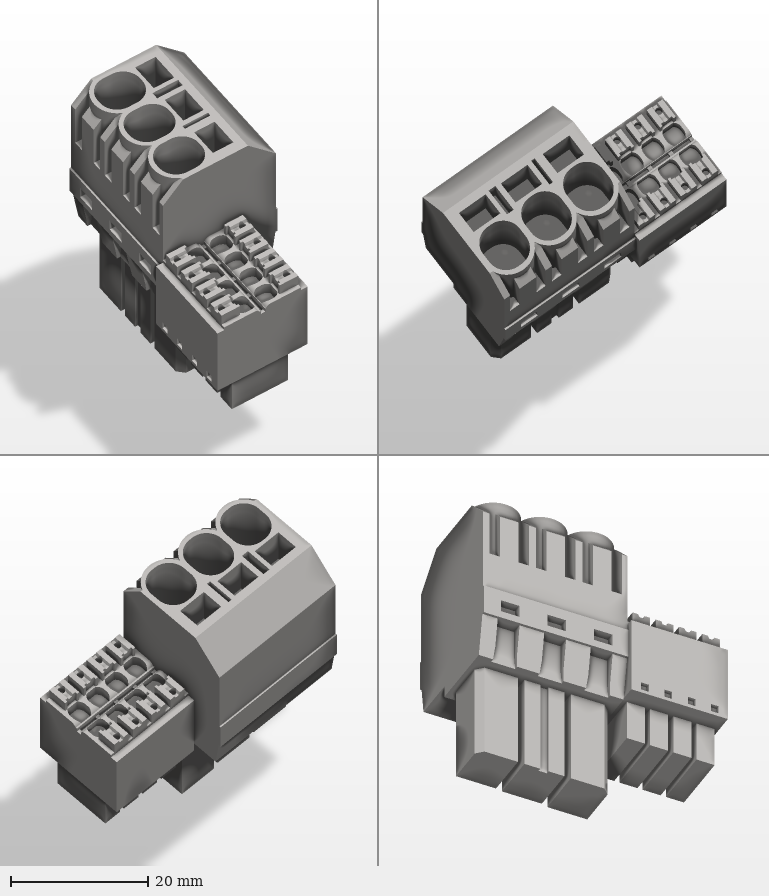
import cadquery as cq
import math


POWER_WIDTH = 23.65
POWER_POLES = 3
POWER_PITCH = 7.6
POWER_MIDDLE_X = 11.9
POWER_TOP = 44.7
POWER_BOTTOM = 15.5
POWER_FRONT = 1.2
POWER_BACK = 21.28
BACK_STEP_Y = 13.72
BACK_STEP_Z = 17.45
FRONT_CHAMFER = 3.58
BACK_CHAMFER = 5.0
BAND_BOTTOM = 22.3
BAND_TOP = 27.25
BAND_FRONT = 0.9
BAND_BACK = 21.55
TAPER_TOP_FRONT = 1.35
TAPER_TOP_BACK = 21.15
TAPER_BOTTOM_FRONT = 2.5
TAPER_BOTTOM_BACK = 20.47

FUNNEL_WIDTH = 6.6
FUNNEL_LENGTH = 7.5
FUNNEL_CORNER_RADIUS = 3.0
FUNNEL_Y = 6.95
FUNNEL_DEPTH = 11.18
COLLAR_RADIUS = 4.1
COLLAR_Y = 6.45
COLLAR_SLOT_BOTTOM = 33.75
COLLAR_SLOT_INNER = 1.5
COLLAR_SLOT_OUTER = 3.2

TOOL_HOLE_WIDTH = 4.83
TOOL_HOLE_FRONT = 11.25
TOOL_HOLE_BACK = 14.9
TOOL_HOLE_DEPTH = 6.7
SLIT_FRONT = 10.55
SLIT_BACK = 15.05
SLIT_DEPTH = 4.45
SLITS = [(8.0, 1.2), (15.4, 0.63)]

POWER_WINDOW_WIDTH = 3.05
POWER_WINDOW_BOTTOM = 23.45
POWER_WINDOW_TOP = 25.5
POWER_WINDOW_DEPTH = 1.45
NOSE_RECESS_Y = 3.15
NOSE_RECESS_WIDTH = 3.58
NOSE_RECESS_FLARE = 0.2
NOSE_FLARE_Z = 17.65

PRONG_WIDTH = 6.53
PRONG_FRONT = 4.83
PRONG_BACKS = [11.95, 12.15, 12.5]
PRONG_CHAMFER = 1.07
PRONG_GROOVE_WIDTH = 1.35
PRONG_GROOVE_DEPTH = 0.55

SIGNAL_WIDTH = 15.8
SIGNAL_DEPTH = 16.0
SIGNAL_POLES = 4
SIGNAL_PITCH = 3.8
SIGNAL_MIDDLE_X = 31.6
SIGNAL_BOTTOM = 15.7
SIGNAL_TOP = 28.47
PLATEAU_TOP = 29.05
OUTER_WALL = 1.2
PLATEAU_INNER = 1.48
SHOULDER_RADIUS = 1.0

CHANNEL_FRONT = 7.7
CHANNEL_BACK = 8.5
CHANNEL_DEPTH = 0.65
CELL_WIDTH = 3.15
CELL_DEPTH = 0.65

POCKET_WIDTH = 3.05
POCKET_LENGTH = 3.58
POCKET_OFFSET = 2.0
POCKET_DEPTH = 2.0
PUSHER_WIDTH = 2.85
PUSHER_LENGTH = 3.3
PUSHER_TOP = 31.0
PUSHER_GROOVE_TOP_WIDTH = 1.07
PUSHER_GROOVE_FLOOR_WIDTH = 0.63
PUSHER_GROOVE_DEPTH = 0.5
PUSHER_HOLE_DIAMETER = 1.1
PUSHER_HOLE_INSET = 1.05
PUSHER_HOLE_DEPTH = 1.35
PUSHER_NOTCH_WIDTH = 1.95
PUSHER_NOTCH_DEPTH = 0.4

SIGNAL_WINDOW_WIDTH = 1.25
SIGNAL_WINDOW_BOTTOM = 16.23
SIGNAL_WINDOW_TOP = 17.52
SIGNAL_WINDOW_DEPTH = 0.7
SIGNAL_PRONG_WIDTH = 2.95
SIGNAL_PRONG_BOTTOM = 9.05
SIGNAL_PRONG_FRONT = 3.0
SIGNAL_PRONG_BACK = 12.95

SIGNAL_MIDDLE_Y = SIGNAL_DEPTH / 2
SHOULDER_DROP = PLATEAU_TOP - SIGNAL_TOP
SHOULDER_WIDTH = math.sqrt(SHOULDER_RADIUS**2 - (SHOULDER_RADIUS - SHOULDER_DROP) ** 2)
LEDGE_INNER = PLATEAU_INNER - SHOULDER_WIDTH
POCKET_FLOOR = PLATEAU_TOP - POCKET_DEPTH
ROW_SIDES = [-1, 1]


def row_centres(middle, pitch, count):
    """X positions of evenly spaced poles, centred on middle."""
    return [middle + (i - (count - 1) / 2) * pitch for i in range(count)]


POWER_CENTRES = row_centres(POWER_MIDDLE_X, POWER_PITCH, POWER_POLES)
SIGNAL_CENTRES = row_centres(SIGNAL_MIDDLE_X, SIGNAL_PITCH, SIGNAL_POLES)


def block(x0, x1, y0, y1, z0, z1):
    """Box between two corners; the Y limits may come in either order."""
    low_y, high_y = sorted((y0, y1))
    size = (x1 - x0, high_y - low_y, z1 - z0)
    return cq.Workplane("XY").box(*size, centered=False).translate((x0, low_y, z0))


def centred_block(x, width, y0, y1, z0, z1):
    """Box of a given width, centred on x."""
    return block(x - width / 2, x + width / 2, y0, y1, z0, z1)


def upright_cylinder(x, y, radius, z0, z1):
    return cq.Workplane("XY", origin=(x, y, z0)).circle(radius).extrude(z1 - z0)


def upright_slot(x, y, width, length, z0, z1):
    """Prism with straight sides and two half-round ends, its long axis along Y."""
    return cq.Workplane("XY", origin=(x, y, z0)).slot2D(length, width, 90).extrude(z1 - z0)


def power_body():
    outline = [
        (TAPER_BOTTOM_FRONT, POWER_BOTTOM),
        (BACK_STEP_Y, POWER_BOTTOM),
        (BACK_STEP_Y, BACK_STEP_Z),
        (TAPER_BOTTOM_BACK, BACK_STEP_Z),
        (TAPER_TOP_BACK, BAND_BOTTOM),
        (BAND_BACK, BAND_BOTTOM),
        (BAND_BACK, BAND_TOP),
        (POWER_BACK, BAND_TOP),
        (POWER_BACK, POWER_TOP - BACK_CHAMFER),
        (POWER_BACK - BACK_CHAMFER, POWER_TOP),
        (POWER_FRONT + FRONT_CHAMFER, POWER_TOP),
        (POWER_FRONT, POWER_TOP - FRONT_CHAMFER),
        (POWER_FRONT, BAND_TOP),
        (BAND_FRONT, BAND_TOP),
        (BAND_FRONT, BAND_BOTTOM),
        (TAPER_TOP_FRONT, BAND_BOTTOM),
    ]
    return cq.Workplane("YZ").polyline(outline).close().extrude(POWER_WIDTH)


def collar(x):
    return upright_cylinder(x, COLLAR_Y, COLLAR_RADIUS, COLLAR_SLOT_BOTTOM, POWER_TOP)


def collar_slots(x):
    """Two upright slots that expose the collar from the front."""
    slot_width = COLLAR_SLOT_OUTER - COLLAR_SLOT_INNER
    slot_offset = (COLLAR_SLOT_OUTER + COLLAR_SLOT_INNER) / 2
    limits = (POWER_FRONT, COLLAR_Y, COLLAR_SLOT_BOTTOM, POWER_TOP)
    left = centred_block(x - slot_offset, slot_width, *limits)
    right = centred_block(x + slot_offset, slot_width, *limits)
    return left.union(right).cut(collar(x))


def wire_funnel(x):
    """Nearly round opening: a rectangle with very large corner radii."""
    back = FUNNEL_Y + FUNNEL_LENGTH / 2
    front = FUNNEL_Y - FUNNEL_LENGTH / 2
    opening = centred_block(x, FUNNEL_WIDTH, front, back, POWER_TOP - FUNNEL_DEPTH, POWER_TOP)
    return opening.edges("|Z").fillet(FUNNEL_CORNER_RADIUS)


def tool_hole(x):
    floor = POWER_TOP - TOOL_HOLE_DEPTH
    return centred_block(x, TOOL_HOLE_WIDTH, TOOL_HOLE_FRONT, TOOL_HOLE_BACK, floor, POWER_TOP)


def power_window(x):
    back = BAND_FRONT + POWER_WINDOW_DEPTH
    return centred_block(x, POWER_WINDOW_WIDTH, BAND_FRONT, back, POWER_WINDOW_BOTTOM, POWER_WINDOW_TOP)


def nose_recess(x):
    """Recess in the tapered nose, flaring slightly towards its open lower end."""
    half = NOSE_RECESS_WIDTH / 2
    low_half = half + NOSE_RECESS_FLARE
    outline = [
        (x - half, BAND_BOTTOM),
        (x - half, NOSE_FLARE_Z),
        (x - low_half, POWER_BOTTOM),
        (x + low_half, POWER_BOTTOM),
        (x + half, NOSE_FLARE_Z),
        (x + half, BAND_BOTTOM),
    ]
    return cq.Workplane("XZ").polyline(outline).close().extrude(-NOSE_RECESS_Y)


def power_prong(x, back):
    return centred_block(x, PRONG_WIDTH, PRONG_FRONT, back, 0, POWER_BOTTOM)


def power_prongs():
    """Three prongs: the outer two have a chamfered front corner, the middle one a front groove."""
    left, middle, right = [power_prong(x, back) for x, back in zip(POWER_CENTRES, PRONG_BACKS)]
    left = left.edges("|Z and <X and <Y").chamfer(PRONG_CHAMFER)
    right = right.edges("|Z and >X and <Y").chamfer(PRONG_CHAMFER)
    groove_back = PRONG_FRONT + PRONG_GROOVE_DEPTH
    groove = centred_block(
        POWER_CENTRES[1], PRONG_GROOVE_WIDTH, PRONG_FRONT, groove_back, 0, POWER_BOTTOM
    )
    return [left, middle.cut(groove), right]


def power_block():
    body = power_body()
    for x in POWER_CENTRES:
        body = body.cut(collar_slots(x))
    for x in POWER_CENTRES:
        body = body.union(collar(x))
    for x in POWER_CENTRES:
        body = body.cut(wire_funnel(x))
        body = body.cut(tool_hole(x))
        body = body.cut(power_window(x))
        body = body.cut(nose_recess(x))
    for x, width in SLITS:
        body = body.cut(centred_block(x, width, SLIT_FRONT, SLIT_BACK, POWER_TOP - SLIT_DEPTH, POWER_TOP))
    for prong in power_prongs():
        body = body.union(prong)
    return body


def signal_body():
    """Profile with two plateaus whose rounded shoulders drop to a middle ledge."""
    plateau_front = SIGNAL_MIDDLE_Y - PLATEAU_INNER
    plateau_back = SIGNAL_MIDDLE_Y + PLATEAU_INNER
    half_angle = math.acos(1 - SHOULDER_DROP / SHOULDER_RADIUS) / 2
    arc_y = SHOULDER_RADIUS * math.sin(half_angle)
    arc_z = PLATEAU_TOP - SHOULDER_RADIUS * (1 - math.cos(half_angle))
    return (
        cq.Workplane("YZ", origin=(POWER_WIDTH, 0, 0))
        .moveTo(0, SIGNAL_BOTTOM)
        .lineTo(0, SIGNAL_TOP)
        .lineTo(OUTER_WALL, SIGNAL_TOP)
        .lineTo(OUTER_WALL, PLATEAU_TOP)
        .lineTo(plateau_front, PLATEAU_TOP)
        .threePointArc((plateau_front + arc_y, arc_z), (SIGNAL_MIDDLE_Y - LEDGE_INNER, SIGNAL_TOP))
        .lineTo(SIGNAL_MIDDLE_Y + LEDGE_INNER, SIGNAL_TOP)
        .threePointArc((plateau_back - arc_y, arc_z), (plateau_back, PLATEAU_TOP))
        .lineTo(SIGNAL_DEPTH - OUTER_WALL, PLATEAU_TOP)
        .lineTo(SIGNAL_DEPTH - OUTER_WALL, SIGNAL_TOP)
        .lineTo(SIGNAL_DEPTH, SIGNAL_TOP)
        .lineTo(SIGNAL_DEPTH, SIGNAL_BOTTOM)
        .close()
        .extrude(SIGNAL_WIDTH)
    )


def channel():
    """Channel along the middle ledge, with one deeper cell for each pole."""
    floor = SIGNAL_TOP - CHANNEL_DEPTH
    cutter = block(
        POWER_WIDTH, POWER_WIDTH + SIGNAL_WIDTH, CHANNEL_FRONT, CHANNEL_BACK, floor, SIGNAL_TOP
    )
    for x in SIGNAL_CENTRES:
        cell = centred_block(x, CELL_WIDTH, CHANNEL_FRONT, CHANNEL_BACK, floor - CELL_DEPTH, floor)
        cutter = cutter.union(cell)
    return cutter


def pusher_blank(x, side):
    """Plain pusher block, standing against the outer wall of its row."""
    outer_y = SIGNAL_MIDDLE_Y + side * (SIGNAL_MIDDLE_Y - OUTER_WALL)
    inner_y = outer_y - side * PUSHER_LENGTH
    return centred_block(x, PUSHER_WIDTH, outer_y, inner_y, POCKET_FLOOR, PUSHER_TOP)


def wire_pocket(x, side):
    """Pocket with half-round ends, cut off at the middle ledge and at the pusher."""
    centre_y = SIGNAL_MIDDLE_Y + side * POCKET_OFFSET
    inner_y = SIGNAL_MIDDLE_Y + side * LEDGE_INNER
    outer_y = SIGNAL_MIDDLE_Y + side * (SIGNAL_MIDDLE_Y - OUTER_WALL - PUSHER_LENGTH)
    bore = upright_slot(x, centre_y, POCKET_WIDTH, POCKET_LENGTH, POCKET_FLOOR, PLATEAU_TOP)
    limits = centred_block(x, POCKET_WIDTH, inner_y, outer_y, POCKET_FLOOR, PLATEAU_TOP)
    return bore.intersect(limits)


def signal_block():
    body = signal_body().cut(channel())
    for x in SIGNAL_CENTRES:
        for side in ROW_SIDES:
            body = body.cut(wire_pocket(x, side))
            body = body.cut(pusher_blank(x, side))
        window = centred_block(
            x, SIGNAL_WINDOW_WIDTH, 0, SIGNAL_WINDOW_DEPTH, SIGNAL_WINDOW_BOTTOM, SIGNAL_WINDOW_TOP
        )
        prong = centred_block(
            x, SIGNAL_PRONG_WIDTH, SIGNAL_PRONG_FRONT, SIGNAL_PRONG_BACK, SIGNAL_PRONG_BOTTOM, SIGNAL_BOTTOM
        )
        body = body.cut(window).union(prong)
    return body


def make_housing():
    return power_block().union(signal_block())


def make_pusher(x, side):
    """Release pusher with a tapered groove and a round hole on top, and a notch at its inner end."""
    outer_y = SIGNAL_MIDDLE_Y + side * (SIGNAL_MIDDLE_Y - OUTER_WALL)
    inner_y = outer_y - side * PUSHER_LENGTH
    groove_floor = PUSHER_TOP - PUSHER_GROOVE_DEPTH
    groove_outline = [
        (x - PUSHER_GROOVE_TOP_WIDTH / 2, PUSHER_TOP),
        (x - PUSHER_GROOVE_FLOOR_WIDTH / 2, groove_floor),
        (x + PUSHER_GROOVE_FLOOR_WIDTH / 2, groove_floor),
        (x + PUSHER_GROOVE_TOP_WIDTH / 2, PUSHER_TOP),
    ]
    front_y = min(outer_y, inner_y)
    groove_plane = cq.Workplane("XZ", origin=(0, front_y, 0))
    groove = groove_plane.polyline(groove_outline).close().extrude(-PUSHER_LENGTH)
    hole_y = outer_y - side * PUSHER_HOLE_INSET
    hole = upright_cylinder(x, hole_y, PUSHER_HOLE_DIAMETER / 2, groove_floor - PUSHER_HOLE_DEPTH, PUSHER_TOP)
    notch_y = inner_y + side * PUSHER_NOTCH_DEPTH
    notch = centred_block(x, PUSHER_NOTCH_WIDTH, inner_y, notch_y, PLATEAU_TOP, PUSHER_TOP)
    return pusher_blank(x, side).cut(groove).cut(hole).cut(notch)


housing = make_housing()
pushers = [make_pusher(x, side) for side in ROW_SIDES for x in SIGNAL_CENTRES]

result = cq.Compound.makeCompound([housing.val(), *[pusher.val() for pusher in pushers]])